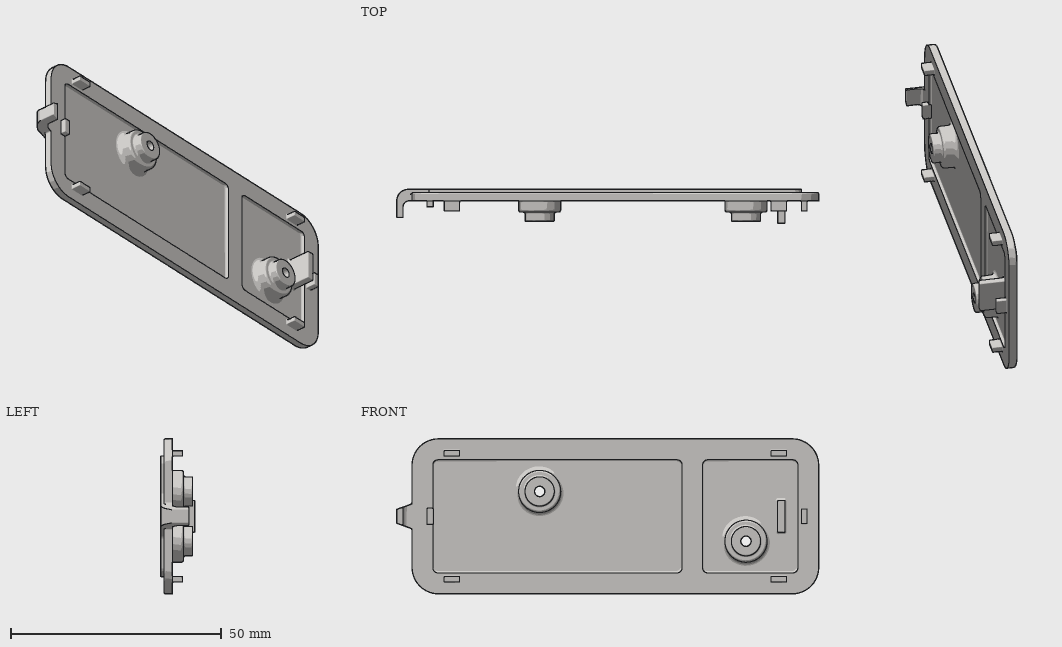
import cadquery as cq
import math


overall_length = 100.13
overall_depth = 8.13
plate_length = 96.52
plate_width = 36.83
plate_thickness = 2.03
plate_corner_radius = 6.35
plate_back_fillet = 0.45

panel_inset = 4.06
panel_height = 0.76
panel_edge_fillet = 0.25
back_y = plate_thickness + panel_height

pocket_end_x = 43.3
pocket_width = 26.85
pocket_depth = 0.76
pocket_corner_radius = 1.27
pocket_floor_fillet = 0.5
web_left_x = 15.84
web_right_x = 20.67

boss_centers = [(-17.95, 5.9), (30.98, -5.9)]
boss_base_radius = 5.0
boss_base_height = 2.67
boss_tip_radius = 3.48
boss_tip_height = 4.83
boss_foot_fillet = 1.08
boss_shoulder_fillet = 0.55
boss_neck_fillet = 0.45
boss_tip_fillet = 0.25
boss_hole_diameter = 2.4

peg_edge_fillet = 0.2
peg_foot_fillet = 0.25
side_peg_length = 3.7
side_peg_thickness = 1.35
side_peg_x = 38.76
side_peg_z = 14.93
peg_height = 2.41
left_peg_length = 3.85
right_peg_length = 3.5
left_peg_thickness = 1.55
left_peg_x = -43.95
left_peg_height = 1.4
right_peg_thickness = 1.4
right_peg_x = 44.8

rib_x = 39.37
rib_thickness = 1.78
rib_length = 7.6
rib_height = overall_depth - back_y
rib_foot_fillet = 0.6
rib_edge_fillet = 0.25

hook_left_x = plate_length / 2 - overall_length
hook_height = 3.94
hook_thickness = 1.55
hook_inner_radius = 1.4
hook_tip_half_width = 1.66
hook_taper = 0.36
hook_root_overlap = 1.0
hook_root_fillet = 0.5
panel_root_fillet = 1.7
hook_edge_fillet = 0.25


def block(size_x, size_z, center_x, center_z, y_front, y_back):
    """Box given by its X and Z sizes and centre, between two Y levels."""
    depth = y_back - y_front
    middle = (center_x, (y_front + y_back) / 2, center_z)
    return cq.Workplane("XY").box(size_x, depth, size_z).translate(middle)


def hook_half_width(x):
    """Half width of the tapered hook outline at a given X."""
    return hook_tip_half_width + hook_taper * (x - hook_left_x)


def make_hook_outline(inner_x, y_front, y_back):
    """Tapered hook outline as a prism from its tip to an inner X."""
    inner_half_width = hook_half_width(inner_x)
    outline = cq.Workplane("XZ", origin=(0, y_back, 0)).polyline([
        (hook_left_x, -hook_tip_half_width),
        (inner_x, -inner_half_width),
        (inner_x, inner_half_width),
        (hook_left_x, hook_tip_half_width),
    ])
    prism = outline.close().extrude(y_back - y_front)
    return prism.edges("|Y").edges("<X").fillet(hook_edge_fillet)


def make_layer(inset, corner_radius, root_fillet, edge_fillet, y_front, y_back):
    """Rounded slab joined to the hook outline, with its back edges rounded."""
    length = plate_length - 2 * inset
    slab = block(length, plate_width - 2 * inset, 0, 0, y_front, y_back)
    slab = slab.edges("|Y").fillet(corner_radius)
    slab_left_x = -length / 2
    slab = slab.union(make_hook_outline(slab_left_x + hook_root_overlap, y_front, y_back))
    root_z = hook_half_width(slab_left_x)
    for z in (-root_z, root_z):
        root_edge = cq.selectors.NearestToPointSelector((slab_left_x, (y_front + y_back) / 2, z))
        slab = slab.edges("|Y").edges(root_edge).fillet(root_fillet)
    return slab.faces(">Y").edges().fillet(edge_fillet)


def make_plate():
    """Plate with a raised panel on its back, both running out into the hook."""
    plate = make_layer(0, plate_corner_radius, hook_root_fillet, plate_back_fillet, 0, plate_thickness)
    panel_corner_radius = plate_corner_radius - panel_inset
    panel = make_layer(
        panel_inset, panel_corner_radius, panel_root_fillet, panel_edge_fillet, plate_thickness / 2, back_y
    )
    return plate.union(panel)


def make_pocket(left_x, right_x):
    """Volume of a front pocket with rounded corners and a filleted floor."""
    middle_x = (left_x + right_x) / 2
    pocket = block(right_x - left_x, pocket_width, middle_x, 0, -pocket_depth, pocket_depth)
    pocket = pocket.edges("|Y").fillet(pocket_corner_radius)
    return pocket.faces(">Y").edges().fillet(pocket_floor_fillet)


def quarter_arc(profile, start, end, center):
    """Continue a profile along the quarter arc from start to end about center."""
    start_offset = cq.Vector(*start) - cq.Vector(*center)
    end_offset = cq.Vector(*end) - cq.Vector(*center)
    middle = cq.Vector(*center) + (start_offset + end_offset) * math.sqrt(0.5)
    return profile.lineTo(*start).threePointArc((middle.x, middle.y), end)


def make_boss(center_x, center_z):
    """Turned two-step boss; its profile is drawn as (radius, Y) and spun about Y."""
    step_y = -boss_base_height
    tip_y = -boss_tip_height
    foot_radius = boss_base_radius + boss_foot_fillet
    foot_y = pocket_depth - boss_foot_fillet
    shoulder_radius = boss_base_radius - boss_shoulder_fillet
    shoulder_y = step_y + boss_shoulder_fillet
    neck_radius = boss_tip_radius + boss_neck_fillet
    neck_y = step_y - boss_neck_fillet
    top_radius = boss_tip_radius - boss_tip_fillet
    top_y = tip_y + boss_tip_fillet

    profile = cq.Workplane("XY").moveTo(0, plate_thickness).lineTo(foot_radius, plate_thickness)
    profile = quarter_arc(
        profile, (foot_radius, pocket_depth), (boss_base_radius, foot_y), (foot_radius, foot_y)
    )
    profile = quarter_arc(
        profile, (boss_base_radius, shoulder_y), (shoulder_radius, step_y), (shoulder_radius, shoulder_y)
    )
    profile = quarter_arc(
        profile, (neck_radius, step_y), (boss_tip_radius, neck_y), (neck_radius, neck_y)
    )
    profile = quarter_arc(
        profile, (boss_tip_radius, top_y), (top_radius, tip_y), (top_radius, top_y)
    )
    boss = profile.lineTo(0, tip_y).close().revolve(360, (0, 0, 0), (0, 1, 0))
    return boss.translate((center_x, 0, center_z))


def make_boss_hole(center_x, center_z):
    """Screw hole through a boss and the whole plate."""
    length = boss_tip_height + back_y
    hole = cq.Workplane("XZ").circle(boss_hole_diameter / 2).extrude(length)
    return hole.translate((center_x, back_y, center_z))


def make_peg(size_x, size_z, center_x, center_z, height):
    """Locating peg with rounded upright edges and a rounded tip."""
    peg = block(size_x, size_z, center_x, center_z, -height, plate_thickness / 2)
    peg = peg.edges("|Y").fillet(peg_edge_fillet)
    return peg.faces("<Y").edges().fillet(peg_edge_fillet)


def fillet_foot(body, size_x, size_z, center_x, center_z, floor_y, radius):
    """Round the outline where an upright feature meets a flat floor."""
    margin = radius / 4
    half_x = size_x / 2 + margin
    half_z = size_z / 2 + margin
    foot_edges = cq.selectors.BoxSelector(
        (center_x - half_x, floor_y - margin, center_z - half_z),
        (center_x + half_x, floor_y + margin, center_z + half_z),
    )
    return body.edges(foot_edges).fillet(radius)


def add_footed_peg(body, size_x, size_z, center_x, center_z):
    """Add a peg to the plate front and round its foot."""
    body = body.union(make_peg(size_x, size_z, center_x, center_z, peg_height))
    return fillet_foot(body, size_x, size_z, center_x, center_z, 0, peg_foot_fillet)


def add_rib(body):
    """Add the upright rib and round its foot into the pocket floor."""
    rib = block(rib_thickness, rib_length, rib_x, 0, -rib_height, pocket_depth)
    rib = rib.edges("|Y").fillet(rib_edge_fillet)
    rib = rib.faces("<Y").edges().fillet(rib_edge_fillet)
    body = body.union(rib)
    return fillet_foot(body, rib_thickness, rib_length, rib_x, 0, pocket_depth, rib_foot_fillet)


def make_hook_finger():
    """Finger of the hook, hanging forward of the plate front."""
    foot_x = hook_left_x + hook_thickness
    bend_x = foot_x + hook_inner_radius
    side = cq.Workplane("XY").moveTo(hook_left_x, -hook_height).lineTo(foot_x, -hook_height)
    side = quarter_arc(side, (foot_x, -hook_inner_radius), (bend_x, 0), (bend_x, -hook_inner_radius))
    side = side.lineTo(hook_left_x, 0).close().extrude(plate_width, both=True)
    finger = side.intersect(make_hook_outline(bend_x, -hook_height, 0))
    return finger.faces("<Y").edges().fillet(hook_edge_fillet)


def make_hook_bend_waste():
    """Corner removed from the back of the hook to leave a quarter-round bend."""
    bend_x = hook_left_x + back_y
    waste = cq.Workplane("XY").moveTo(hook_left_x, back_y)
    waste = quarter_arc(waste, (hook_left_x, 0), (bend_x, back_y), (bend_x, 0))
    return waste.close().extrude(plate_width, both=True)


result = make_plate().cut(make_hook_bend_waste()).union(make_hook_finger())
result = result.cut(make_pocket(-pocket_end_x, web_left_x))
result = result.cut(make_pocket(web_right_x, pocket_end_x))
for boss_x, boss_z in boss_centers:
    result = result.union(make_boss(boss_x, boss_z))
    result = result.cut(make_boss_hole(boss_x, boss_z))
for side_x in (-side_peg_x, side_peg_x):
    for side_z in (-side_peg_z, side_peg_z):
        result = add_footed_peg(result, side_peg_length, side_peg_thickness, side_x, side_z)
result = result.union(make_peg(left_peg_thickness, left_peg_length, left_peg_x, 0, left_peg_height))
result = add_footed_peg(result, right_peg_thickness, right_peg_length, right_peg_x, 0)
result = add_rib(result)